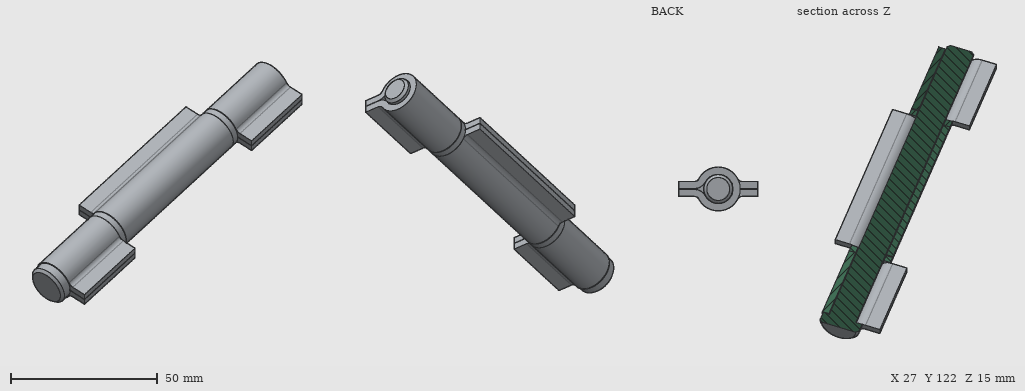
import cadquery as cq
import math

TOTAL_LENGTH = 122.0
HEAD_LENGTH = 4.0
END_KNUCKLE_LENGTH = 27.0
TIP_LENGTH = 2.0
WASHER_SPACE = 2.6
WASHER_PLAY = 0.2
WASHER_LENGTH = WASHER_SPACE - WASHER_PLAY

FRONT_KNUCKLE_START = HEAD_LENGTH - TOTAL_LENGTH / 2
FRONT_WASHER_START = FRONT_KNUCKLE_START + END_KNUCKLE_LENGTH
MIDDLE_KNUCKLE_START = FRONT_WASHER_START + WASHER_SPACE
BACK_KNUCKLE_START = TOTAL_LENGTH / 2 - TIP_LENGTH - END_KNUCKLE_LENGTH
BACK_WASHER_START = BACK_KNUCKLE_START - WASHER_SPACE
MIDDLE_KNUCKLE_LENGTH = BACK_WASHER_START - MIDDLE_KNUCKLE_START

BARREL_DIAMETER = 15.0
BORE_DIAMETER = 10.0
STRIP_THICKNESS = (BARREL_DIAMETER - BORE_DIAMETER) / 2
LEAF_SPAN = 27.0
LEAF_REACH = LEAF_SPAN / 2
SLIT_WIDTH = 0.1
BEND_RADIUS = 2.0

SHAFT_DIAMETER = 9.8
HEAD_DIAMETER = 14.3
PIN_CHAMFER = 1.0


def cylinder(diameter, start, length):
    """Solid cylinder on the Y axis, running from start toward +Y."""
    plane = cq.Workplane("XZ", origin=(0, start, 0))
    return plane.circle(diameter / 2).extrude(-length)


def make_knuckle(start, length, side):
    """Wrapped knuckle with its leaf toward +X (side = 1) or -X (side = -1)."""
    barrel_radius = BARREL_DIAMETER / 2
    bore_radius = BORE_DIAMETER / 2
    slit_z = SLIT_WIDTH / 2
    leaf_z = slit_z + STRIP_THICKNESS

    bend_z = leaf_z + BEND_RADIUS
    bend_distance = barrel_radius + BEND_RADIUS
    bend_x = math.sqrt(bend_distance**2 - bend_z**2)
    bend_angle = math.asin(bend_z / bend_distance)
    middle_angle = (bend_angle - math.pi / 2) / 2 - math.pi / 2

    def on_barrel(radius, mirror):
        return (side * radius * math.cos(bend_angle), mirror * radius * math.sin(bend_angle))

    def on_bend(radius, mirror):
        x = bend_x + radius * math.cos(middle_angle)
        z = bend_z + radius * math.sin(middle_angle)
        return (side * x, mirror * z)

    tip_x = side * LEAF_REACH
    tangent_x = side * bend_x
    inner_bend = BEND_RADIUS + STRIP_THICKNESS
    outline = (
        cq.Workplane("XZ", origin=(0, start, 0))
        .moveTo(tip_x, slit_z)
        .lineTo(tip_x, leaf_z)
        .lineTo(tangent_x, leaf_z)
        .threePointArc(on_bend(BEND_RADIUS, 1), on_barrel(barrel_radius, 1))
        .threePointArc((-side * barrel_radius, 0), on_barrel(barrel_radius, -1))
        .threePointArc(on_bend(BEND_RADIUS, -1), (tangent_x, -leaf_z))
        .lineTo(tip_x, -leaf_z)
        .lineTo(tip_x, -slit_z)
        .lineTo(tangent_x, -slit_z)
        .threePointArc(on_bend(inner_bend, -1), on_barrel(bore_radius, -1))
        .threePointArc((-side * bore_radius, 0), on_barrel(bore_radius, 1))
        .threePointArc(on_bend(inner_bend, 1), (tangent_x, slit_z))
        .close()
    )
    return outline.extrude(-length)


def make_washer(start):
    """Plain ring between two knuckles, resting on the knuckle toward -Y."""
    ring = cylinder(BARREL_DIAMETER, start, WASHER_LENGTH)
    return ring.cut(cylinder(BORE_DIAMETER, start, WASHER_LENGTH))


def make_pin():
    """Headed pin through all knuckles, chamfered at both ends."""
    head = cylinder(HEAD_DIAMETER, -TOTAL_LENGTH / 2, HEAD_LENGTH)
    shaft = cylinder(SHAFT_DIAMETER, FRONT_KNUCKLE_START, TOTAL_LENGTH - HEAD_LENGTH)
    pin = head.union(shaft)
    return pin.faces("<Y or >Y").chamfer(PIN_CHAMFER)


knuckle_layout = [
    (FRONT_KNUCKLE_START, END_KNUCKLE_LENGTH, 1),
    (MIDDLE_KNUCKLE_START, MIDDLE_KNUCKLE_LENGTH, -1),
    (BACK_KNUCKLE_START, END_KNUCKLE_LENGTH, 1),
]
knuckles = [make_knuckle(start, length, side) for start, length, side in knuckle_layout]
washers = [make_washer(start) for start in (FRONT_WASHER_START, BACK_WASHER_START)]
pin = make_pin()

result = cq.Compound.makeCompound([body.val() for body in [*knuckles, *washers, pin]])